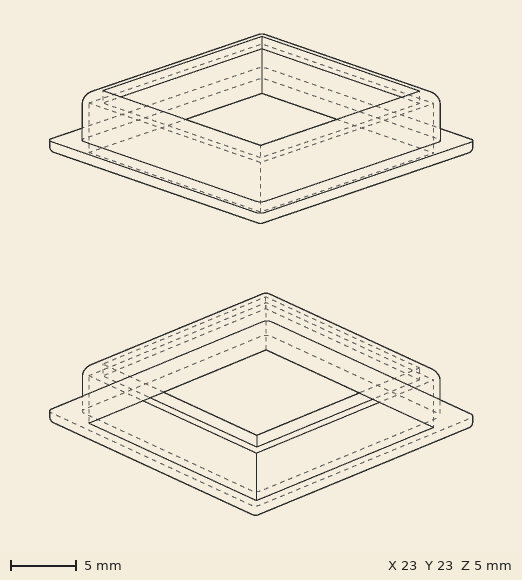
import cadquery as cq

flange_side = 23.0
flange_thickness = 1.0
flange_corner_radius = 0.5
flange_bottom_radius = 0.5

total_height = 5.0
rim_side = 19.5
rim_corner_radius = 0.5
rim_top_radius = 1.0

opening_side = 17.0
lip_thickness = 1.0
rim_wall = 0.5
cavity_side = rim_side - 2 * rim_wall


def square_block(side, bottom, top):
    """Square prism centred on the Z axis, between two heights."""
    return cq.Workplane("XY").workplane(offset=bottom).rect(side, side).extrude(top - bottom)


def make_flange():
    flange = square_block(flange_side, 0, flange_thickness)
    flange = flange.edges("|Z").fillet(flange_corner_radius)
    return flange.faces("<Z").edges().fillet(flange_bottom_radius)


def make_rim():
    rim = square_block(rim_side, 0, total_height)
    rim = rim.edges("|Z").fillet(rim_corner_radius)
    return rim.faces(">Z").edges().fillet(rim_top_radius)


def make_opening():
    """Through opening plus the wider cavity beneath the lip."""
    opening = square_block(opening_side, 0, total_height)
    cavity = square_block(cavity_side, 0, total_height - lip_thickness)
    return opening.union(cavity)


result = make_flange().union(make_rim()).cut(make_opening())